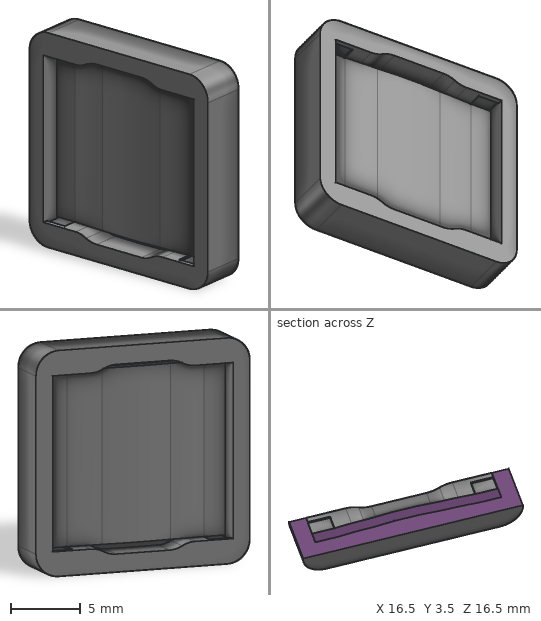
import cadquery as cq
import math

width = 16.5
depth = 3.5
corner_radius = 1.75
front_y = -depth / 2

opening_width = 13.9
opening_height = 12.85
panel_recess = 1.5
panel_thickness = 0.8
panel_face_y = front_y + panel_recess
seat_y = panel_face_y + panel_thickness

crown_half_width = 2.64
bow_half_width = 2 * crown_half_width
bow_radius = 35.0

relief_half_width = 4.0
relief_rise = 0.5
relief_arc_radius = 2.0

lip_thickness = 0.4
undercut_rise = 0.15


def space_before_bow(margin_y, height):
    """Prism along Z from the front face back to a bowed surface whose flat margins lie at margin_y."""
    half_width = opening_width / 2
    arc_rise = bow_radius - math.sqrt(bow_radius**2 - crown_half_width**2)
    crown_edge_y = margin_y - arc_rise
    crown_top_y = margin_y - 2 * arc_rise
    return (
        cq.Workplane("XY")
        .moveTo(-half_width, front_y)
        .lineTo(-half_width, margin_y)
        .lineTo(-bow_half_width, margin_y)
        .radiusArc((-crown_half_width, crown_edge_y), -bow_radius)
        .threePointArc((0, crown_top_y), (crown_half_width, crown_edge_y))
        .radiusArc((bow_half_width, margin_y), -bow_radius)
        .lineTo(half_width, margin_y)
        .lineTo(half_width, front_y)
        .close()
        .extrude(height / 2, both=True)
    )


def make_reliefs():
    """Prism along Y that widens the opening at its top and bottom between two S-curves."""
    half_rise = relief_rise / 2
    arc_run = math.sqrt(relief_arc_radius**2 - (relief_arc_radius - half_rise) ** 2)
    outer_x = relief_half_width
    middle_x = outer_x - arc_run
    inner_x = middle_x - arc_run
    wall_z = opening_height / 2
    middle_z = wall_z + half_rise
    top_z = wall_z + relief_rise
    upper_half = (
        cq.Workplane("XZ")
        .moveTo(-outer_x, 0)
        .lineTo(-outer_x, wall_z)
        .radiusArc((-middle_x, middle_z), -relief_arc_radius)
        .radiusArc((-inner_x, top_z), relief_arc_radius)
        .lineTo(inner_x, top_z)
        .radiusArc((middle_x, middle_z), relief_arc_radius)
        .radiusArc((outer_x, wall_z), -relief_arc_radius)
        .lineTo(outer_x, 0)
        .close()
        .extrude(depth / 2, both=True)
    )
    return upper_half.union(upper_half.mirror("XY"))


def make_undercuts():
    """Two blocks, one at each side of the opening, that reach past its top and bottom walls."""
    margin_width = opening_width / 2 - bow_half_width
    centre_x = bow_half_width + margin_width / 2
    start_y = front_y + lip_thickness
    undercut_depth = seat_y - start_y
    return (
        cq.Workplane("XY")
        .pushPoints([(side * centre_x, start_y + undercut_depth / 2) for side in (-1, 1)])
        .box(margin_width, undercut_depth, opening_height + 2 * undercut_rise)
    )


def make_housing():
    block = cq.Workplane("XY").box(width, depth, width).edges("|Y").fillet(corner_radius)
    opening = space_before_bow(seat_y, opening_height)
    reliefs = make_reliefs().intersect(space_before_bow(seat_y, width))
    return block.cut(opening).cut(reliefs).cut(make_undercuts())


def make_panel():
    """Bowed plate lying on the seat, with the same bow on its front and back."""
    return space_before_bow(seat_y, opening_height).cut(space_before_bow(panel_face_y, opening_height))


housing = make_housing()
panel = make_panel()

result = cq.Compound.makeCompound([housing.val(), panel.val()])